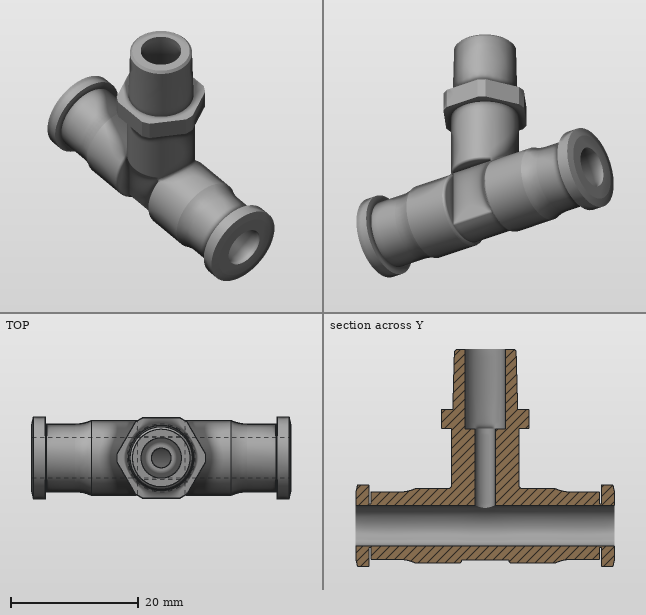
import cadquery as cq
import math

run_length = 40.8
run_half = run_length / 2
run_bore_radius = 3.2

collar_diameter = 12.95
collar_radius = collar_diameter / 2
collar_face_radius = 5.2
collar_bevel = 0.3
collar_width = 2.15
neck_radius = 3.45
neck_width = 0.2

sleeve_radius = 5.35
body_radius = 5.9
sleeve_length = 4.53
flare_length = 2.55

waist_radius = 5.43
waist_half_thickness = 3.4
waist_half_length = 3.7
waist_edge_round = 0.4

stem_radius = 5.35
stem_base = 4.95
hex_bottom = 15.25
hex_height = 3.1
hex_across_flats = 12.7
hex_across_corners = 13.9

overall_height = 34.25
thread_top = overall_height - collar_radius
thread_root_radius = 5.15
thread_tip_radius = 4.9
thread_bevel_height = 0.35
thread_bevel_width = 0.35

joint_round = 0.4

thread_bore_radius = 3.2
thread_bore_floor = hex_bottom
orifice_radius = 1.55

tolerance = 0.005


def barrel_half():
    """Solid of revolution for the +X half of the run, without its bore."""
    collar_inner = run_half - collar_width
    sleeve_end = collar_inner - neck_width
    flare_start = sleeve_end - sleeve_length
    flare_end = flare_start - flare_length
    rise = body_radius - sleeve_radius
    flare_radius = (flare_length**2 + rise**2) / (2 * rise)
    half_angle = math.asin(flare_length / flare_radius) / 2
    flare_mid = (
        flare_start - flare_radius * math.sin(half_angle),
        sleeve_radius + flare_radius * (1 - math.cos(half_angle)),
    )
    return (
        cq.Workplane("XY")
        .moveTo(0, 0)
        .lineTo(run_half, 0)
        .lineTo(run_half, collar_face_radius)
        .lineTo(run_half - collar_bevel, collar_radius)
        .lineTo(collar_inner, collar_radius)
        .lineTo(collar_inner, neck_radius)
        .lineTo(sleeve_end, neck_radius)
        .lineTo(sleeve_end, sleeve_radius)
        .lineTo(flare_start, sleeve_radius)
        .threePointArc(flare_mid, (flare_end, body_radius))
        .lineTo(0, body_radius)
        .close()
        .revolve(360, (0, 0, 0), (1, 0, 0))
    )


def waist_core():
    """Bar with flat Y sides running up to the stem and a round, edge-softened underside."""
    width = 2 * waist_half_thickness
    bar = cq.Workplane("YZ").circle(waist_radius).extrude(waist_half_length, both=True)
    slab = cq.Workplane("XY").box(2 * waist_half_length, width, 2 * waist_radius)
    underside = bar.intersect(slab).edges("|X").fillet(waist_edge_round)
    upper = cq.Workplane("XY").rect(2 * waist_half_length, width).extrude(stem_base)
    return underside.union(upper)


def waist_relief():
    """Material removed around the waist, up to the underside of the stem."""
    depth = 2 * body_radius
    block = (
        cq.Workplane("XY")
        .workplane(offset=stem_base)
        .rect(2 * waist_half_length, 2 * depth)
        .extrude(-2 * depth)
    )
    return block.cut(waist_core())


def hexagon_prism(across_flats, first_corner_angle):
    """Hexagonal prism at the height of the wrench hexagon."""
    corner_diameter = across_flats / math.cos(math.pi / 6)
    return (
        cq.Workplane("XY")
        .workplane(offset=hex_bottom)
        .transformed(rotate=(0, 0, first_corner_angle))
        .polygon(6, corner_diameter)
        .extrude(hex_height)
    )


def hexagon():
    """Wrench hexagon with two flats facing Y and its corners cut off flat."""
    return hexagon_prism(hex_across_flats, 0).intersect(hexagon_prism(hex_across_corners, 30))


def thread():
    """Tapered thread envelope with a bevelled tip."""
    root = hex_bottom + hex_height
    return (
        cq.Workplane("XZ")
        .moveTo(0, root)
        .lineTo(thread_root_radius, root)
        .lineTo(thread_tip_radius, thread_top - thread_bevel_height)
        .lineTo(thread_tip_radius - thread_bevel_width, thread_top)
        .lineTo(0, thread_top)
        .close()
        .revolve(360, (0, 0, 0), (0, 1, 0))
    )


def bores():
    """Through bore of the run, thread bore and the orifice joining them."""
    run = cq.Workplane("YZ").circle(run_bore_radius).extrude(run_half, both=True)
    orifice = cq.Workplane("XY").circle(orifice_radius).extrude(thread_top)
    socket = (
        cq.Workplane("XY")
        .workplane(offset=thread_bore_floor)
        .circle(thread_bore_radius)
        .extrude(thread_top - thread_bore_floor)
    )
    return run.union(orifice).union(socket)


def is_shoulder(edge):
    """True for the outer edges of the barrel ends that face the waist."""
    on_body = math.isclose(edge.radius(), body_radius, abs_tol=tolerance)
    return on_body and math.isclose(abs(edge.startPoint().x), waist_half_length, abs_tol=tolerance)


def is_stem_rim(edge):
    """True for the exposed lower rim of the stem over the waist."""
    on_stem = math.isclose(edge.radius(), stem_radius, abs_tol=tolerance)
    return on_stem and math.isclose(edge.startPoint().z, stem_base, abs_tol=tolerance)


def tee_body():
    """Barrel and stem joined, relieved at the waist and rounded where they meet."""
    half = barrel_half()
    barrel = half.union(half.mirror("YZ"))
    stem = cq.Workplane("XY").circle(stem_radius).extrude(hex_bottom)
    body = barrel.union(stem).cut(waist_relief())
    creases = body.edges("%BSPLINE").vals()
    arcs = body.edges("%CIRCLE").vals()
    rims = [edge for edge in arcs if is_shoulder(edge) or is_stem_rim(edge)]
    return body.newObject(creases + rims).fillet(joint_round)


result = tee_body().union(hexagon()).union(thread()).cut(bores())